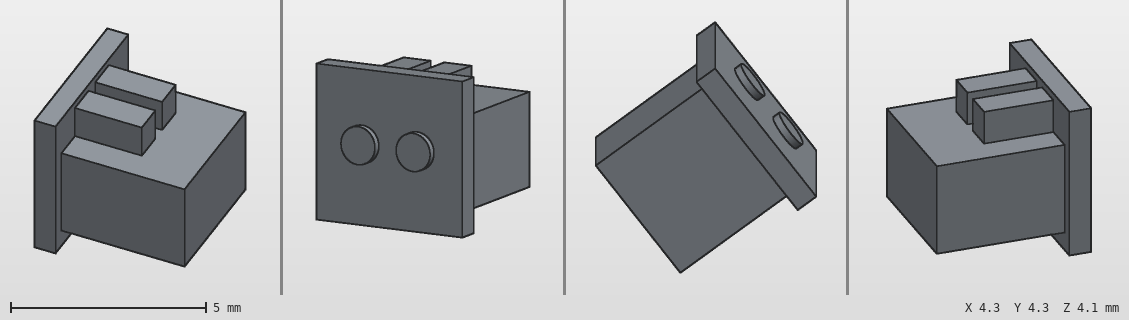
import cadquery as cq

overall_length = 4.3

flange_thickness = 0.598
flange_width = 4.3
flange_height = 4.1

block_length = 3.5
block_width = 3.6
block_height = 2.5
block_bottom = 0.5
block_top = block_bottom + block_height

rib_length = 1.9
rib_width = 0.8
rib_pitch = 1.2
rib_top_drop = 0.195
rib_height = flange_height - rib_top_drop - block_top

pin_diameter = 1.0
pin_length = overall_length - flange_thickness - block_length
pin_pitch = 1.625
pin_axis_height = 2.13

SIDES = (-1, 1)


def make_box(length, width, height, x_start, y_center, z_bottom):
    """Box centred on y_center that starts at x_start and z_bottom."""
    return (
        cq.Workplane("XY")
        .box(length, width, height, centered=(False, True, False))
        .translate((x_start, y_center, z_bottom))
    )


def make_housing():
    """Flange, block and ribs as one solid."""
    flange = make_box(flange_thickness, flange_width, flange_height, 0, 0, 0)
    block = make_box(block_length, block_width, block_height, flange_thickness, 0, block_bottom)
    body = flange.union(block)
    for side in SIDES:
        rib_y = side * rib_pitch / 2
        rib = make_box(rib_length, rib_width, rib_height, flange_thickness, rib_y, block_top)
        body = body.union(rib)
    return body


def make_pin(y_center):
    """Round pin standing out from the flange face toward -X."""
    return (
        cq.Workplane("YZ")
        .center(y_center, pin_axis_height)
        .circle(pin_diameter / 2)
        .extrude(-pin_length)
    )


housing = make_housing()
pins = [make_pin(side * pin_pitch / 2) for side in SIDES]

result = cq.Compound.makeCompound([housing.val(), *[pin.val() for pin in pins]])